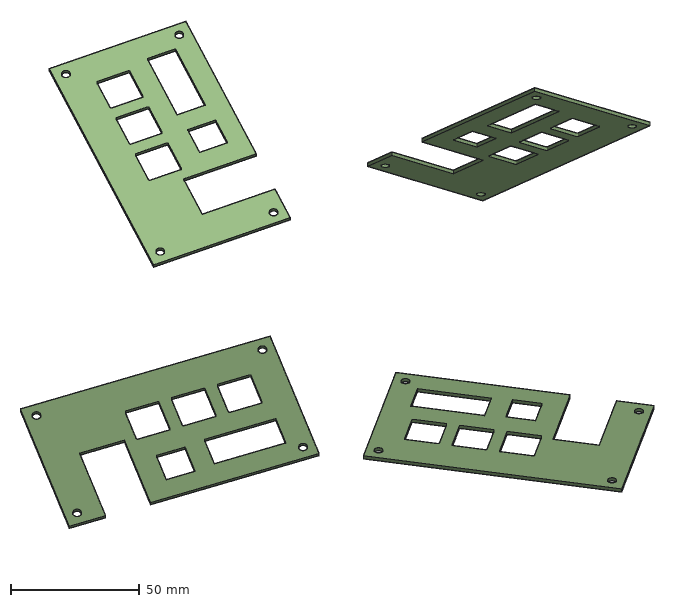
import cadquery as cq

plate_length = 103.3
plate_width = 58.1
plate_thickness = 1.5

screw_hole_diameter = 3.4
screw_hole_inset = 5.0

slot_left = 69.8
slot_width = 18.5
slot_depth = 30.9

display_left = 10.6
display_bottom = 37.1
display_length = 29.6
display_height = 12.0

square_left = 48.5
square_bottom = 38.0
square_side = 11.9

key_count = 3
key_side = 14.0
key_pitch = 19.0
key_row_left = 13.1
key_row_bottom = 14.5
key_corner_radius = 0.5


def rectangular_cutter(left, bottom, length, width):
    """Block through the plate thickness, placed by its lower left corner."""
    block = cq.Workplane("XY").box(length, width, plate_thickness, centered=False)
    return block.translate((left, bottom, 0))


plate = cq.Workplane("XY").box(plate_length, plate_width, plate_thickness, centered=False)

plate = plate.cut(rectangular_cutter(slot_left, plate_width - slot_depth, slot_width, slot_depth))

plate = plate.cut(rectangular_cutter(display_left, display_bottom, display_length, display_height))
plate = plate.cut(rectangular_cutter(square_left, square_bottom, square_side, square_side))

for key_index in range(key_count):
    key_left = key_row_left + key_index * key_pitch
    key_cutter = rectangular_cutter(key_left, key_row_bottom, key_side, key_side)
    plate = plate.cut(key_cutter.edges("|Z").fillet(key_corner_radius))

screw_holes = (
    cq.Workplane("XY")
    .center(plate_length / 2, plate_width / 2)
    .rect(plate_length - 2 * screw_hole_inset, plate_width - 2 * screw_hole_inset, forConstruction=True)
    .vertices()
    .circle(screw_hole_diameter / 2)
    .extrude(plate_thickness)
)
plate = plate.cut(screw_holes)

result = plate